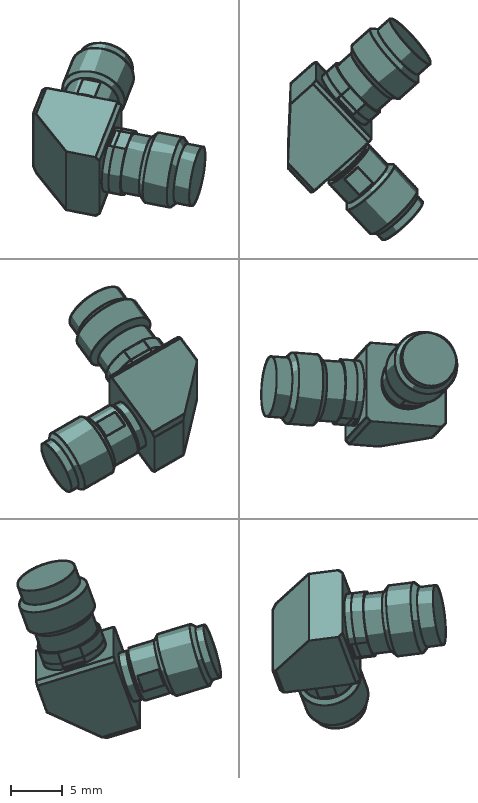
import cadquery as cq

BLOCK_SIZE = 7.92
BLOCK_HALF = BLOCK_SIZE / 2
BLOCK_CHAMFER = 0.4
CORNER_CUT = 4.58

OVERALL = 16.6
ARM_LENGTH = OVERALL - BLOCK_SIZE

COLLAR_RADIUS = 3.15
COLLAR_FLAT_HALF_SPAN = 2.95
COLLAR_FLAT_START = 0.2
SOCKET_START = 0.66
COLLAR_END = 1.85
SOCKET_RADIUS = 2.92
SOCKET_BULGE_RADIUS = 3.45
SOCKET_BULGE_START = 3.65
SOCKET_BULGE_END = 7.12

FERRULE_RADIUS = 2.47
FERRULE_LENGTH = 0.8
NECK_RADIUS = 2.19
NUT_START = 1.05
NUT_RADIUS = 2.67
NUT_BULGE_RADIUS = 3.12
NUT_BULGE_START = 3.67
NUT_BULGE_END = 7.88
NUT_FLAT_HALF_SPAN = 2.52
NUT_FLAT_START = 1.36
NUT_FLAT_END = 3.54

X_ARM = cq.Plane(origin=(BLOCK_HALF, 0, 0), xDir=(0, 1, 0), normal=(1, 0, 0))
Y_ARM = cq.Plane(origin=(0, BLOCK_HALF, 0), xDir=(-1, 0, 0), normal=(0, 1, 0))


def cylinder(arm, start, end, radius):
    """Cylinder on an arm's axis between two distances from the block face."""
    return cq.Workplane(arm).workplane(offset=start).circle(radius).extrude(end - start)


def flat_slab(arm, start, end, half_span):
    """Wide slab between two flats that face +Z and -Z."""
    return cq.Workplane(arm).workplane(offset=start).rect(BLOCK_SIZE, 2 * half_span).extrude(end - start)


def bulged_sleeve(arm, start, radius, bulge_radius, bulge_start, bulge_end):
    """Round sleeve out to the arm's tip, with a wide band between two 45 degree cones."""
    rise = bulge_radius - radius
    half_profile = [
        (0, start),
        (radius, start),
        (radius, bulge_start),
        (bulge_radius, bulge_start + rise),
        (bulge_radius, bulge_end - rise),
        (radius, bulge_end),
        (radius, ARM_LENGTH),
        (0, ARM_LENGTH),
    ]
    profile_plane = cq.Plane(origin=arm.origin, xDir=arm.xDir, normal=arm.xDir.cross(arm.zDir))
    return cq.Workplane(profile_plane).polyline(half_profile).close().revolve(360, (0, 0), (0, 1))


def collar(start, end):
    """Length of the socket collar that carries the two flats."""
    flats = flat_slab(X_ARM, start, end, COLLAR_FLAT_HALF_SPAN)
    return cylinder(X_ARM, start, end, COLLAR_RADIUS).intersect(flats)


def make_block():
    """Elbow block with the root of the socket collar and the ferrule and neck of the nut arm."""
    block = cq.Workplane("XY").box(BLOCK_SIZE, BLOCK_SIZE, BLOCK_SIZE)
    block = block.edges("|Y").chamfer(BLOCK_CHAMFER)
    corner = (
        cq.Workplane("XY", origin=(-BLOCK_HALF, -BLOCK_HALF, -BLOCK_HALF))
        .polyline([(0, 0), (CORNER_CUT, 0), (0, CORNER_CUT)])
        .close()
        .extrude(BLOCK_SIZE)
    )
    block = block.cut(corner)
    block = block.union(cylinder(X_ARM, 0, COLLAR_FLAT_START, COLLAR_RADIUS))
    block = block.union(collar(COLLAR_FLAT_START, SOCKET_START))
    block = block.union(cylinder(Y_ARM, 0, FERRULE_LENGTH, FERRULE_RADIUS))
    return block.union(cylinder(Y_ARM, FERRULE_LENGTH, NUT_START, NECK_RADIUS))


def make_socket():
    """Fixed connector on the +X arm, starting part way along the collar."""
    sleeve = bulged_sleeve(
        X_ARM, SOCKET_START, SOCKET_RADIUS, SOCKET_BULGE_RADIUS, SOCKET_BULGE_START, SOCKET_BULGE_END
    )
    return sleeve.union(collar(SOCKET_START, COLLAR_END))


def make_nut():
    """Coupling nut on the +Y arm, with two wrench flats."""
    nut = bulged_sleeve(Y_ARM, NUT_START, NUT_RADIUS, NUT_BULGE_RADIUS, NUT_BULGE_START, NUT_BULGE_END)
    flat_band = cylinder(Y_ARM, NUT_FLAT_START, NUT_FLAT_END, NUT_BULGE_RADIUS)
    return nut.cut(flat_band.cut(flat_slab(Y_ARM, NUT_FLAT_START, NUT_FLAT_END, NUT_FLAT_HALF_SPAN)))


block = make_block()
socket = make_socket()
nut = make_nut()

result = cq.Compound.makeCompound([block.val(), socket.val(), nut.val()])